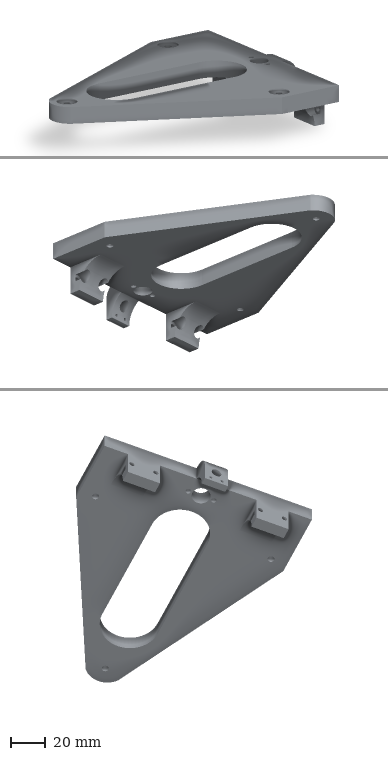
import cadquery as cq
import math

plate_width = 130.0
plate_length = 155.1
plate_thickness = 10.0
straight_side = 40.2
nose_half_width = 10.2
nose_rise = 5.0

window_width = 34.7
window_rear = 22.7
window_front = 127.8

mount_hole = 4.0
mount_bore = 12.0
mount_bore_depth = 1.0
side_mount_x = 55.0
side_mount_y = -35.2
nose_mount_y = -145.3

port_hole = 10.8
port_y = -10.2
pin_hole = 3.2
pin_offset = 8.0

hook_width = 14.7
hook_reach = 166.8 - plate_length
hook_drop = 13.7
hook_tip_thickness = 4.3
hook_outer_radius = 11.0
hook_hole = 6.0
hook_hole_z = -4.8
hook_pin_hole = 1.8
hook_pin_offset = 3.5
hook_pin_z = -11.0

leg_width = 20.2
leg_x = 40.4
leg_drop = 17.0
leg_thickness = 7.0
leg_blend_radius = 16.7
leg_hole = 3.2
leg_bore = 6.7
leg_bore_floor = 3.0
leg_hole_offset = 7.5
leg_hole_z = -8.2


def vertical_cylinder(diameter, x, y, bottom, height):
    return cq.Workplane("XY", origin=(x, y, bottom)).circle(diameter / 2).extrude(height)


def forward_cylinder(diameter, x, y_start, z, length):
    """Cylinder running from y_start toward -Y."""
    return cq.Workplane("XZ", origin=(x, y_start, z)).circle(diameter / 2).extrude(length)


def make_plate():
    half_width = plate_width / 2
    nose_corner_y = nose_rise - plate_length
    plate = (
        cq.Workplane("XY")
        .moveTo(-half_width, 0)
        .lineTo(half_width, 0)
        .lineTo(half_width, -straight_side)
        .lineTo(nose_half_width, nose_corner_y)
        .threePointArc((0, -plate_length), (-nose_half_width, nose_corner_y))
        .lineTo(-half_width, -straight_side)
        .close()
        .extrude(plate_thickness)
    )
    window = (
        cq.Workplane("XY", origin=(0, -(window_rear + window_front) / 2, 0))
        .slot2D(window_front - window_rear, window_width, 90)
        .extrude(plate_thickness)
    )
    plate = plate.cut(window)
    plate = plate.cut(vertical_cylinder(port_hole, 0, port_y, 0, plate_thickness))
    for x in (-pin_offset, pin_offset):
        plate = plate.cut(vertical_cylinder(pin_hole, x, port_y, 0, plate_thickness))

    mounts = [(-side_mount_x, side_mount_y), (side_mount_x, side_mount_y), (0, nose_mount_y)]
    bore_floor = plate_thickness - mount_bore_depth
    for x, y in mounts:
        plate = plate.cut(vertical_cylinder(mount_hole, x, y, 0, plate_thickness))
        plate = plate.cut(vertical_cylinder(mount_bore, x, y, bore_floor, mount_bore_depth))
    return plate


def make_hook():
    inner_y = hook_reach - hook_tip_thickness
    inner_radius = (inner_y**2 + hook_drop**2) / (2 * inner_y)
    inner_center_y = inner_y - inner_radius
    half_angle = math.atan2(hook_drop, -inner_center_y) / 2
    inner_middle = (
        inner_center_y + inner_radius * math.cos(half_angle),
        -hook_drop + inner_radius * math.sin(half_angle),
    )
    hook = (
        cq.Workplane("YZ", origin=(-hook_width / 2, 0, 0))
        .moveTo(0, 0)
        .lineTo(0, plate_thickness)
        .lineTo(hook_reach - hook_outer_radius, plate_thickness)
        .radiusArc((hook_reach, plate_thickness - hook_outer_radius), hook_outer_radius)
        .lineTo(hook_reach, -hook_drop)
        .lineTo(inner_y, -hook_drop)
        .threePointArc(inner_middle, (0, 0))
        .close()
        .extrude(hook_width)
    )
    hook = hook.cut(forward_cylinder(hook_hole, 0, hook_reach, hook_hole_z, hook_reach))
    for x in (-hook_pin_offset, hook_pin_offset):
        hook = hook.cut(forward_cylinder(hook_pin_hole, x, hook_reach, hook_pin_z, hook_reach))
    return hook


def make_leg(center_x):
    blend_end_y = -leg_thickness - leg_blend_radius
    leg = (
        cq.Workplane("YZ", origin=(center_x - leg_width / 2, 0, 0))
        .moveTo(0, 0)
        .lineTo(0, -leg_drop)
        .lineTo(-leg_thickness, -leg_drop)
        .lineTo(-leg_thickness, -leg_blend_radius)
        .radiusArc((blend_end_y, 0), -leg_blend_radius)
        .close()
        .extrude(leg_width)
    )
    for x in (center_x - leg_hole_offset, center_x + leg_hole_offset):
        leg = leg.cut(forward_cylinder(leg_hole, x, 0, leg_hole_z, leg_bore_floor))
        leg = leg.cut(forward_cylinder(leg_bore, x, -leg_bore_floor, leg_hole_z, leg_blend_radius))
    return leg


result = make_plate().union(make_hook())
for side in (-1, 1):
    result = result.union(make_leg(side * leg_x))